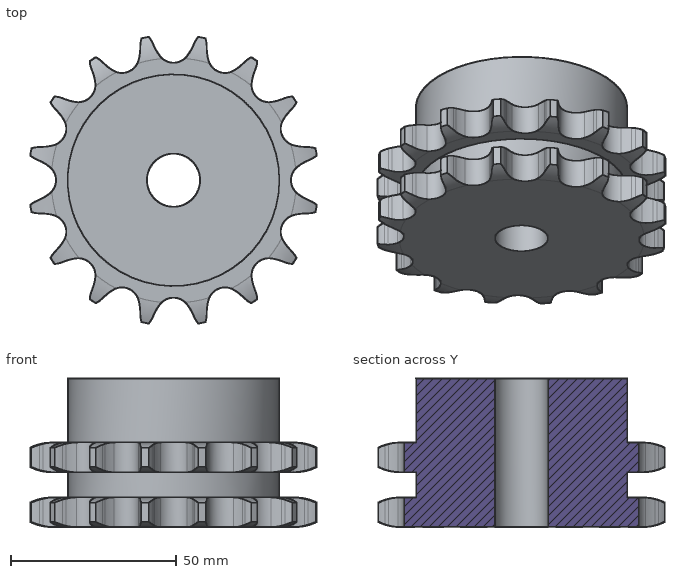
import cadquery as cq
import math


chain_pitch = 15.875
roller_diameter = 10.16
row_spacing = 16.59

tooth_count = 16
row_count = 2
tip_diameter = 88.0
tooth_width = 9.0
side_relief_depth = 1.6
side_relief_radius = 16.0
hub_diameter = 64.0
bore_diameter = 16.0
total_height = 45.0

tip_radius = tip_diameter / 2
tooth_step = 360 / tooth_count
pitch_radius = chain_pitch / 2 / math.sin(math.pi / tooth_count)

seat_clearance = 0.0762
seat_radius = (1.005 * roller_diameter + seat_clearance) / 2
working_center_offset = 0.8 * roller_diameter
working_radius = working_center_offset + seat_radius
topping_center_offset = 1.4 * roller_diameter
seat_angle = 35 + 60 / tooth_count
working_angle = 18 - 56 / tooth_count
flank_angle = seat_angle - working_angle
topping_tilt = 17 - 64 / tooth_count
straight_length = (
    topping_center_offset * math.sin(math.radians(topping_tilt))
    - working_center_offset * math.sin(math.radians(working_angle))
)
topping_radius = (
    topping_center_offset * math.cos(math.radians(topping_tilt))
    + working_center_offset * math.cos(math.radians(working_angle))
    - working_radius
)
topping_end_angle = 55.0


def polar_point(center, radius, angle):
    """Point at the given radius and angle (degrees) from a center."""
    return (
        center[0] + radius * math.cos(math.radians(angle)),
        center[1] + radius * math.sin(math.radians(angle)),
    )


def mirrored(point):
    """Point reflected across the center line of the tooth gap."""
    return (-point[0], point[1])


def make_gap_cutter():
    """Prism filling one tooth gap, centered on the +Y axis."""
    roller_center = (0, pitch_radius)
    seat_bottom = (0, pitch_radius - seat_radius)
    seat_end = polar_point(roller_center, seat_radius, -seat_angle)

    working_center = polar_point(roller_center, -working_center_offset, -seat_angle)
    working_middle = polar_point(working_center, working_radius, -(seat_angle + flank_angle) / 2)
    working_end = polar_point(working_center, working_radius, -flank_angle)

    straight_end = polar_point(working_end, straight_length, 90 - flank_angle)

    topping_center = polar_point(straight_end, topping_radius, -flank_angle)
    topping_middle_angle = (flank_angle + topping_end_angle) / 2
    topping_middle = polar_point(topping_center, topping_radius, 180 - topping_middle_angle)
    topping_end = polar_point(topping_center, topping_radius, 180 - topping_end_angle)

    return (
        cq.Workplane("XY")
        .moveTo(*mirrored(topping_end))
        .threePointArc(mirrored(topping_middle), mirrored(straight_end))
        .lineTo(*mirrored(working_end))
        .threePointArc(mirrored(working_middle), mirrored(seat_end))
        .threePointArc(seat_bottom, seat_end)
        .threePointArc(working_middle, working_end)
        .lineTo(*straight_end)
        .threePointArc(topping_middle, topping_end)
        .close()
        .extrude(tooth_width)
    )


def make_blank():
    """Disc whose flat sides curve inward toward the tip circle."""
    relief_angle = math.degrees(math.acos(1 - side_relief_depth / side_relief_radius))
    relief_start_radius = tip_radius - side_relief_radius * math.sin(math.radians(relief_angle))
    lower_center = (relief_start_radius, side_relief_radius)
    upper_center = (relief_start_radius, tooth_width - side_relief_radius)
    lower_middle = polar_point(lower_center, side_relief_radius, relief_angle / 2 - 90)
    upper_middle = polar_point(upper_center, side_relief_radius, 90 - relief_angle / 2)

    return (
        cq.Workplane("XZ")
        .lineTo(relief_start_radius, 0)
        .threePointArc(lower_middle, (tip_radius, side_relief_depth))
        .lineTo(tip_radius, tooth_width - side_relief_depth)
        .threePointArc(upper_middle, (relief_start_radius, tooth_width))
        .lineTo(0, tooth_width)
        .close()
        .revolve(360, (0, 0, 0), (0, 1, 0))
    )


def make_toothed_row():
    """One toothed disc resting on Z = 0."""
    row = make_blank()
    gap_cutter = make_gap_cutter()
    for index in range(tooth_count):
        row = row.cut(gap_cutter.rotate((0, 0, 0), (0, 0, 1), index * tooth_step))
    return row


def make_sprocket():
    """Hub carrying the toothed rows, with the bore through everything."""
    sprocket = cq.Workplane("XY").circle(hub_diameter / 2).extrude(total_height)
    toothed_row = make_toothed_row()
    for index in range(row_count):
        sprocket = sprocket.union(toothed_row.translate((0, 0, index * row_spacing)))
    bore = cq.Workplane("XY").circle(bore_diameter / 2).extrude(total_height)
    return sprocket.cut(bore)


result = make_sprocket()